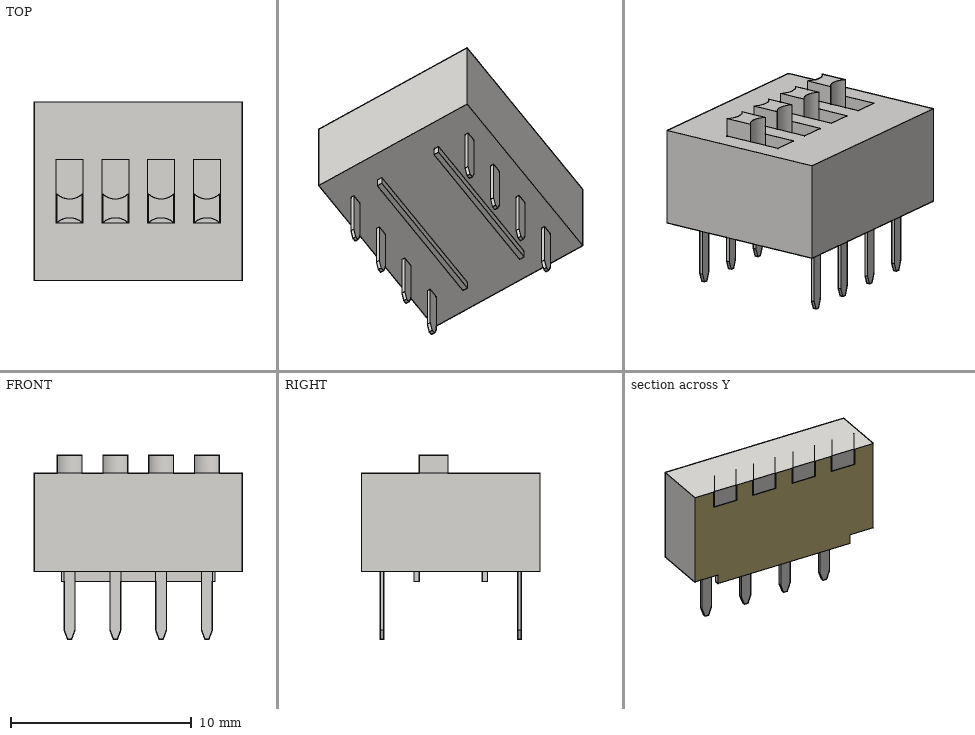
import cadquery as cq
import math


body_length = 11.52
body_width = 9.9
body_height = 5.45

switch_count = 4
switch_pitch = 2.53

window_length = 3.5
window_width = 1.5
window_depth = 0.98

slider_length = 1.6
slider_width = 1.39
slider_rise = 1.0
slider_finger_radius = 1.0

pin_row_spacing = 7.61
pin_width = 0.61
pin_thickness = 0.2
pin_length = 3.74
pin_tip_length = 0.51
pin_tip_width = 0.23

rail_length = 8.52
rail_thickness = 0.3
rail_height = 0.55
rail_spacing = 3.78

switch_positions = [(i - (switch_count - 1) / 2) * switch_pitch for i in range(switch_count)]


def block(length, width, height, x, y, z_bottom):
    """Upright box centred on (x, y) and standing on z_bottom."""
    box = cq.Workplane("XY").box(length, width, height, centered=(True, True, False))
    return box.translate((x, y, z_bottom))


def make_window(x):
    """Cutter for the window in the top face."""
    return block(window_width, window_length, window_depth, x, 0, body_height - window_depth)


def make_slider(x):
    """Slider standing on the window floor, hollowed at both ends by a finger grip arc."""
    half_width = slider_width / 2
    front = -window_length / 2
    back = front + slider_length
    arc_depth = slider_finger_radius - math.sqrt(slider_finger_radius**2 - half_width**2)
    return (
        cq.Workplane("XY")
        .workplane(offset=body_height - window_depth)
        .moveTo(x - half_width, front)
        .threePointArc((x, front + arc_depth), (x + half_width, front))
        .lineTo(x + half_width, back)
        .threePointArc((x, back - arc_depth), (x - half_width, back))
        .close()
        .extrude(window_depth + slider_rise)
    )


def make_pin(x, y):
    """Flat pin hanging from the body, tapering to a blunt tip."""
    shoulder = pin_tip_length - pin_length
    return (
        cq.Workplane("XZ")
        .polyline([
            (-pin_width / 2, 0),
            (pin_width / 2, 0),
            (pin_width / 2, shoulder),
            (pin_tip_width / 2, -pin_length),
            (-pin_tip_width / 2, -pin_length),
            (-pin_width / 2, shoulder),
        ])
        .close()
        .extrude(pin_thickness / 2, both=True)
        .translate((x, y, 0))
    )


result = block(body_length, body_width, body_height, 0, 0, 0)

for x in switch_positions:
    result = result.cut(make_window(x)).union(make_slider(x))

for side in (-1, 1):
    rail_y = side * rail_spacing / 2
    result = result.union(block(rail_length, rail_thickness, rail_height, 0, rail_y, -rail_height))
    for x in switch_positions:
        result = result.union(make_pin(x, side * pin_row_spacing / 2))